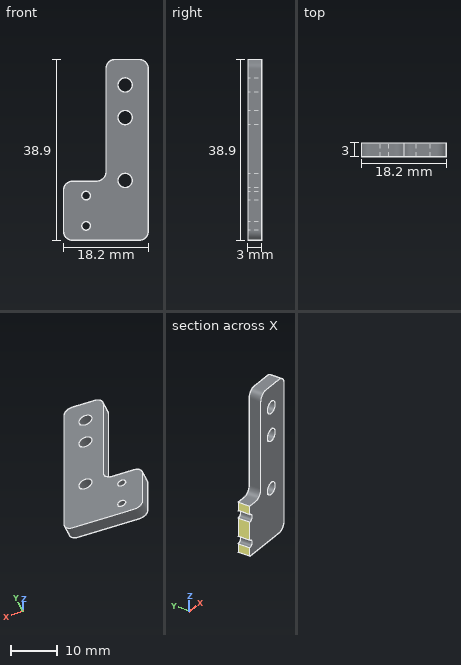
import cadquery as cq

width = 18.25
height = 38.875
thickness = 3.0
arm_width = width / 2
foot_height = 12.75
corner_radius = 2.0

arm_hole_diameter = 3.0
arm_hole_from_right = 5.0
arm_hole_from_top = 5.5
upper_hole_spacing = 7.0
lower_hole_spacing = 13.5

foot_hole_diameter = 1.8
foot_hole_from_left = 4.875
foot_hole_from_bottom = 3.125
foot_hole_spacing = 6.5
foot_hole_count = 2

arm_left = width - arm_width
arm_hole_x = width - arm_hole_from_right
top_hole_z = height - arm_hole_from_top
middle_hole_z = top_hole_z - upper_hole_spacing
bottom_hole_z = middle_hole_z - lower_hole_spacing
arm_hole_centers = [(arm_hole_x, z) for z in (top_hole_z, middle_hole_z, bottom_hole_z)]
foot_hole_centers = [
    (foot_hole_from_left, foot_hole_from_bottom + i * foot_hole_spacing)
    for i in range(foot_hole_count)
]


def make_plate():
    """L-shaped plate in the XZ plane, all six corners rounded, front face at Y = 0."""
    outline = [
        (0, 0),
        (width, 0),
        (width, height),
        (arm_left, height),
        (arm_left, foot_height),
        (0, foot_height),
    ]
    plate = cq.Workplane("XZ").polyline(outline).close().extrude(-thickness)
    return plate.edges("|Y").fillet(corner_radius)


def make_hole_cutters(centers, diameter):
    """Cylinders along Y that pass through the whole plate."""
    return cq.Workplane("XZ").pushPoints(centers).circle(diameter / 2).extrude(-thickness)


result = (
    make_plate()
    .cut(make_hole_cutters(arm_hole_centers, arm_hole_diameter))
    .cut(make_hole_cutters(foot_hole_centers, foot_hole_diameter))
)